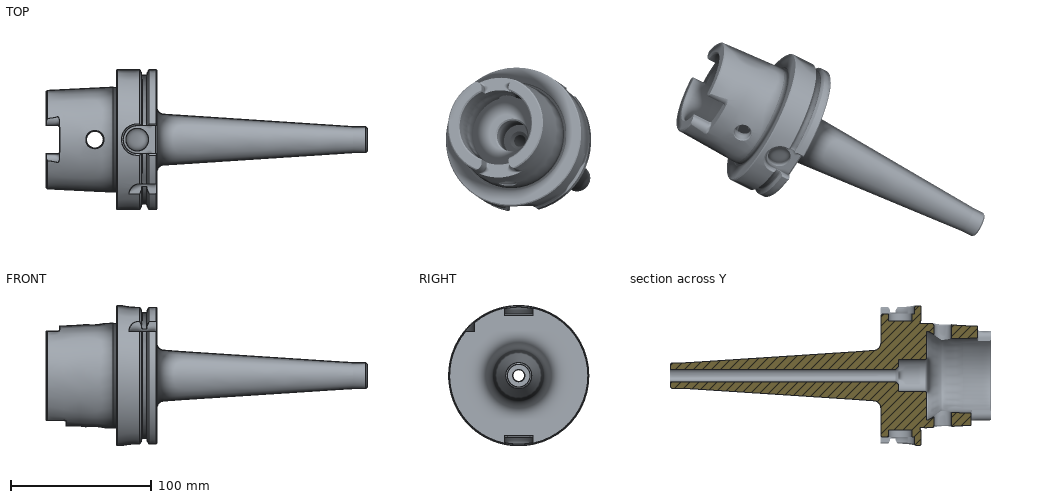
import cadquery as cq
import math


FLANGE_RADIUS = 50.0
FLANGE_LENGTH = 29.0
FLANGE_CHAMFER = 0.7
GROOVE_CENTRE_X = 20.0
GROOVE_MOUTH_WIDTH = 6.8
GROOVE_BOTTOM_WIDTH = 3.9
GROOVE_FLANK_ANGLE = 30.0
GROOVE_DEPTH = 4.0
GROOVE_BOTTOM_FILLET = 0.6

SHANK_LENGTH = 50.0
SHANK_FRONT_RADIUS = 37.6
SHANK_TAPER = 0.05
SHANK_CHAMFER = 0.8
RELIEF_LENGTH = 2.5
RELIEF_DEPTH = 0.3
FACE_RECESS_RADIUS = 39.2
FACE_RECESS_DEPTH = 0.5

NOSE_ROOT_RADIUS = 18.15
NOSE_FILLET = 5.0
NOSE_TIP_RADIUS = 9.3
NOSE_TIP_LENGTH = 10.0
NOSE_CHAMFER = 1.2
NOSE_END_X = 179.0

MOUTH_RADIUS = 26.5
MOUTH_LENGTH = 20.0
MOUTH_CHAMFER = 0.9
NECK_RADIUS = 26.0
NECK_END_X = -14.5
CAVITY_RADIUS = 31.5
CAVITY_FLANK_ANGLE = 30.0
CAVITY_FLOOR_X = -4.0
PIPE_BORE_RADIUS = 11.2
PIPE_BORE_LENGTH = 20.0
PIPE_BORE_CHAMFER = 1.0
TOOL_BORE_RADIUS = 4.2
TOOL_BORE_COUNTERSINK = 2.2

KEYWAY_HALF_WIDTH = 10.0
KEYWAY_TOP_DEPTH = 9.5
KEYWAY_BOTTOM_DEPTH = 14.2
KEYWAY_EDGE_ROUND = 4.8
KEYWAY_CORNER_FILLET = 1.3

CROSS_HOLE_RADIUS = 6.0
CROSS_HOLE_CHAMFER = 0.5
CROSS_HOLE_RIM_DROP = 0.6
CROSS_HOLE_X = -15.3

FLANGE_SLOT_HALF_WIDTH = 10.0
FLANGE_SLOT_FLOOR = 44.0
FLANGE_SLOT_CENTRE_X = 14.9
FLANGE_SLOT_CHAMFER = 1.2
POCKET_RADIUS = 8.1
POCKET_DEPTH = 5.0

NOTCH_CORNER = 31.6
NOTCH_CENTRE_X = 16.5
NOTCH_END_RADIUS = 7.5


def shank_radius(x):
    return SHANK_FRONT_RADIUS + SHANK_TAPER * x


def holder_body():
    """Solid of revolution: shank, plain flange and nose."""
    back_x = -SHANK_LENGTH
    back_radius = shank_radius(back_x)
    relief_radius = SHANK_FRONT_RADIUS - RELIEF_DEPTH
    fillet_end_x = FLANGE_LENGTH + NOSE_FILLET
    fillet_mid = NOSE_FILLET * (1 - math.sqrt(0.5))
    profile = (
        cq.Workplane("XY")
        .moveTo(back_x, 0)
        .lineTo(back_x, back_radius - SHANK_CHAMFER)
        .lineTo(back_x + SHANK_CHAMFER, shank_radius(back_x + SHANK_CHAMFER))
        .lineTo(-RELIEF_LENGTH, shank_radius(-RELIEF_LENGTH))
        .lineTo(-RELIEF_LENGTH + RELIEF_DEPTH, relief_radius)
        .lineTo(FACE_RECESS_DEPTH, relief_radius)
        .lineTo(FACE_RECESS_DEPTH, FACE_RECESS_RADIUS - FACE_RECESS_DEPTH)
        .lineTo(0, FACE_RECESS_RADIUS)
        .lineTo(0, FLANGE_RADIUS - FLANGE_CHAMFER)
        .lineTo(FLANGE_CHAMFER, FLANGE_RADIUS)
        .lineTo(FLANGE_LENGTH - FLANGE_CHAMFER, FLANGE_RADIUS)
        .lineTo(FLANGE_LENGTH, FLANGE_RADIUS - FLANGE_CHAMFER)
        .lineTo(FLANGE_LENGTH, NOSE_ROOT_RADIUS + NOSE_FILLET)
        .threePointArc(
            (FLANGE_LENGTH + fillet_mid, NOSE_ROOT_RADIUS + fillet_mid),
            (fillet_end_x, NOSE_ROOT_RADIUS),
        )
        .lineTo(NOSE_END_X - NOSE_TIP_LENGTH, NOSE_TIP_RADIUS)
        .lineTo(NOSE_END_X - NOSE_CHAMFER, NOSE_TIP_RADIUS)
        .lineTo(NOSE_END_X, NOSE_TIP_RADIUS - NOSE_CHAMFER)
        .lineTo(NOSE_END_X, 0)
        .close()
    )
    return profile.revolve(360, (0, 0, 0), (1, 0, 0))


def gripper_groove():
    """Ring groove with flared flanks above a straight-walled, filleted bottom."""
    mouth_half = GROOVE_MOUTH_WIDTH / 2
    bottom_half = GROOVE_BOTTOM_WIDTH / 2
    flank_depth = (mouth_half - bottom_half) / math.tan(math.radians(GROOVE_FLANK_ANGLE))
    fillet = GROOVE_BOTTOM_FILLET
    bottom = -GROOVE_DEPTH
    flat_half = bottom_half - fillet
    profile = (
        cq.Workplane("XY", origin=(GROOVE_CENTRE_X, FLANGE_RADIUS, 0))
        .moveTo(-mouth_half, GROOVE_DEPTH)
        .lineTo(-mouth_half, 0)
        .lineTo(-bottom_half, -flank_depth)
        .lineTo(-bottom_half, bottom + fillet)
        .radiusArc((-flat_half, bottom), -fillet)
        .lineTo(flat_half, bottom)
        .radiusArc((bottom_half, bottom + fillet), -fillet)
        .lineTo(bottom_half, -flank_depth)
        .lineTo(mouth_half, 0)
        .lineTo(mouth_half, GROOVE_DEPTH)
        .close()
    )
    return profile.revolve(360, (0, -FLANGE_RADIUS, 0), (1, -FLANGE_RADIUS, 0))


def axial_bores():
    """Shank mouth, slightly tapered neck, undercut cavity, coolant pipe bore and through tool bore."""
    back_x = -SHANK_LENGTH
    mouth_end_x = back_x + MOUTH_LENGTH
    flank_length = (CAVITY_RADIUS - NECK_RADIUS) / math.tan(math.radians(CAVITY_FLANK_ANGLE))
    pipe_end_x = CAVITY_FLOOR_X + PIPE_BORE_LENGTH
    profile = (
        cq.Workplane("XY")
        .moveTo(back_x, 0)
        .lineTo(back_x, MOUTH_RADIUS + MOUTH_CHAMFER)
        .lineTo(back_x + MOUTH_CHAMFER, MOUTH_RADIUS)
        .lineTo(mouth_end_x, MOUTH_RADIUS)
        .lineTo(NECK_END_X, NECK_RADIUS)
        .lineTo(NECK_END_X + flank_length, CAVITY_RADIUS)
        .lineTo(CAVITY_FLOOR_X, CAVITY_RADIUS)
        .lineTo(CAVITY_FLOOR_X, PIPE_BORE_RADIUS + PIPE_BORE_CHAMFER)
        .lineTo(CAVITY_FLOOR_X + PIPE_BORE_CHAMFER, PIPE_BORE_RADIUS)
        .lineTo(pipe_end_x, PIPE_BORE_RADIUS)
        .lineTo(pipe_end_x, TOOL_BORE_RADIUS + TOOL_BORE_COUNTERSINK)
        .lineTo(pipe_end_x + TOOL_BORE_COUNTERSINK, TOOL_BORE_RADIUS)
        .lineTo(NOSE_END_X, TOOL_BORE_RADIUS)
        .lineTo(NOSE_END_X, 0)
        .close()
    )
    return profile.revolve(360, (0, 0, 0), (1, 0, 0))


def keyway(depth):
    """Drive slot on the +Z side whose walls round over into the shank surface."""
    floor_x = depth - SHANK_LENGTH
    outer_radius = shank_radius(floor_x)
    round_y = KEYWAY_HALF_WIDTH + KEYWAY_EDGE_ROUND
    round_angle = math.acos(round_y / (outer_radius - KEYWAY_EDGE_ROUND))
    round_z = round_y * math.tan(round_angle)
    mid_angle = round_angle + (math.pi - round_angle) / 2
    mid = (
        round_y + KEYWAY_EDGE_ROUND * math.cos(mid_angle),
        round_z + KEYWAY_EDGE_ROUND * math.sin(mid_angle),
    )
    end = (outer_radius * math.cos(round_angle), outer_radius * math.sin(round_angle))
    roof_z = FLANGE_RADIUS
    inner_z = MOUTH_RADIUS / 2
    cutter = (
        cq.Workplane("YZ", origin=(-SHANK_LENGTH, 0, 0))
        .moveTo(-KEYWAY_HALF_WIDTH, inner_z)
        .lineTo(KEYWAY_HALF_WIDTH, inner_z)
        .lineTo(KEYWAY_HALF_WIDTH, round_z)
        .threePointArc(mid, end)
        .lineTo(end[0], roof_z)
        .lineTo(-end[0], roof_z)
        .lineTo(-end[0], end[1])
        .threePointArc((-mid[0], mid[1]), (-KEYWAY_HALF_WIDTH, round_z))
        .close()
        .extrude(depth)
    )
    floor_edges = cutter.faces(">X").edges("(not >Z) and (not <Z)")
    return floor_edges.fillet(KEYWAY_CORNER_FILLET)


def flange_slot():
    """Round-ended slot on the +Z side with a round pocket sunk into its floor."""
    height = FLANGE_RADIUS - FLANGE_SLOT_FLOOR
    floor_plane = cq.Workplane("XY", origin=(FLANGE_SLOT_CENTRE_X, 0, FLANGE_SLOT_FLOOR))
    run = FLANGE_LENGTH - FLANGE_SLOT_CENTRE_X
    end = floor_plane.circle(FLANGE_SLOT_HALF_WIDTH).extrude(height)
    channel = floor_plane.center(run / 2, 0).rect(run, 2 * FLANGE_SLOT_HALF_WIDTH).extrude(height)
    pocket = floor_plane.circle(POCKET_RADIUS).extrude(-POCKET_DEPTH)
    return end.union(channel).union(pocket)


def notch():
    """Milled corner notch with a vertical round end, open towards the nose."""
    side = FLANGE_RADIUS
    plane = cq.Workplane("XY", origin=(0, 0, NOTCH_CORNER))
    start_x = NOTCH_CENTRE_X - NOTCH_END_RADIUS
    return (
        plane.moveTo(NOTCH_CENTRE_X, -NOTCH_CORNER)
        .lineTo(FLANGE_LENGTH, -NOTCH_CORNER)
        .lineTo(FLANGE_LENGTH, -side)
        .lineTo(start_x, -side)
        .lineTo(start_x, -NOTCH_CORNER - NOTCH_END_RADIUS)
        .radiusArc((NOTCH_CENTRE_X, -NOTCH_CORNER), NOTCH_END_RADIUS)
        .close()
        .extrude(side)
    )


def flange_slot_edges(body, side):
    """Outer rim and open floor edge of the flange slot on the +Z (side 1) or -Z (side -1) side."""
    start_x = FLANGE_SLOT_CENTRE_X - FLANGE_SLOT_HALF_WIDTH
    wall_top = math.sqrt(FLANGE_RADIUS**2 - FLANGE_SLOT_HALF_WIDTH**2)
    margin = 0.1
    y_limit = FLANGE_SLOT_HALF_WIDTH + margin
    rim = cq.selectors.BoxSelector(
        (start_x - margin, -y_limit, side * (wall_top - margin)),
        (FLANGE_LENGTH - FLANGE_CHAMFER, y_limit, side * (FLANGE_RADIUS + margin)),
    )
    floor_end = cq.selectors.BoxSelector(
        (FLANGE_LENGTH - margin, -margin, side * (FLANGE_SLOT_FLOOR - margin)),
        (FLANGE_LENGTH + margin, margin, side * (FLANGE_SLOT_FLOOR + margin)),
    )
    return body.edges(rim + floor_end)


def mirrored_below(shape):
    return shape.mirror("XY")


def cross_hole():
    """Radial hole through the shank, countersunk at both ends."""
    surface_z = shank_radius(CROSS_HOLE_X)
    rim_radius = CROSS_HOLE_RADIUS + CROSS_HOLE_CHAMFER
    sink_bottom_z = surface_z - CROSS_HOLE_CHAMFER - CROSS_HOLE_RIM_DROP
    sink_top_z = surface_z - CROSS_HOLE_RIM_DROP
    half_profile = (
        cq.Workplane("XZ", origin=(CROSS_HOLE_X, 0, 0))
        .lineTo(CROSS_HOLE_RADIUS, 0)
        .lineTo(CROSS_HOLE_RADIUS, sink_bottom_z)
        .lineTo(rim_radius, sink_top_z)
        .lineTo(rim_radius, FLANGE_RADIUS)
        .lineTo(0, FLANGE_RADIUS)
        .close()
    )
    upper = half_profile.revolve(360, (0, 0, 0), (0, 1, 0))
    return upper.union(mirrored_below(upper))


result = holder_body()
result = result.cut(flange_slot()).cut(mirrored_below(flange_slot()))

for side in (1, -1):
    result = flange_slot_edges(result, side).chamfer(FLANGE_SLOT_CHAMFER)

result = result.cut(gripper_groove())
result = result.cut(notch())
result = result.cut(axial_bores())
result = result.cut(keyway(KEYWAY_TOP_DEPTH)).cut(mirrored_below(keyway(KEYWAY_BOTTOM_DEPTH)))
result = result.cut(cross_hole())